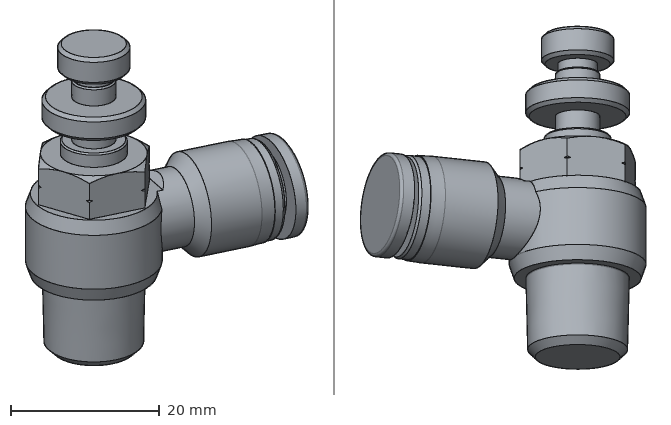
import cadquery as cq
import math


body_radius = 9.2
body_end_radius = 8.52
body_bottom = 11.05
body_top = 22.9
body_bevel_height = 1.95

leg_axis_height = 18.4
leg_neck_radius = 5.5
leg_radius = 7.2
leg_mouth_radius = 7.13
leg_cone_start = 12.35
leg_taper_start = 21.6
leg_mouth = 23.65
leg_flat_end = 8.8

sleeve_radius = 7.0
sleeve_end = 25.25
sleeve_bevel_length = 0.35
sleeve_bevel_depth = 0.23
collar_neck_radius = 4.85
neck_flare = 0.2
flange_inner = 26.3
flange_outer = 28.3
flange_half_width = 8.0
flange_half_height = 6.95
flange_fillet = 0.4

thread_top_radius = 6.95
thread_bottom_radius = 6.7
thread_chamfer = 1.05
shank_reveal = 0.15
hex_across_flats = 14.35
hex_height = 5.95
hex_bevel_angle = 30.0
mark_groove_drop = 3.3
mark_groove_depth = 0.23
mark_groove_half_width = 0.2
boss_radius = 4.5
boss_height = 2.05
boss_chamfer = 0.23

needle_top = 45.1
knob_radius = 4.85
knob_height = 3.95
knob_chamfer = 0.5
stem_neck_radius = 2.65
stem_radius = 2.98
stem_shoulder = 39.85
stem_chamfer = 0.23
disc_radius = 7.0
disc_bottom = 33.8
disc_thickness = 3.47
disc_chamfer = 0.5

hex_top = body_top + hex_height
hex_flat_radius = hex_across_flats / 2
hex_corner_radius = hex_flat_radius / math.cos(math.radians(30))
boss_top = hex_top + boss_height
knob_bottom = needle_top - knob_height
disc_top = disc_bottom + disc_thickness
leg_cone_end = leg_cone_start + leg_radius - leg_neck_radius


def revolve_about_z(profile):
    """Turn a closed (radius, z) profile about the Z axis."""
    return cq.Workplane("XZ").polyline(profile).close().revolve(360, (0, 0), (0, 1))


def revolve_about_leg(profile):
    """Turn a closed (radius, y) profile about the leg axis."""
    turned = cq.Workplane("XY").polyline(profile).close().revolve(360, (0, 0), (0, 1))
    return turned.translate((0, 0, leg_axis_height))


def make_elbow():
    body = revolve_about_z([
        (0, body_bottom),
        (body_end_radius, body_bottom),
        (body_radius, body_bottom + body_bevel_height),
        (body_radius, body_top - body_bevel_height),
        (body_end_radius, body_top),
        (0, body_top),
    ])
    leg = revolve_about_leg([
        (0, 0),
        (leg_neck_radius, 0),
        (leg_neck_radius, leg_cone_start),
        (leg_radius, leg_cone_end),
        (leg_radius, leg_taper_start),
        (leg_mouth_radius, leg_mouth),
        (0, leg_mouth),
    ])
    clear_top = leg_axis_height + leg_radius
    slope_run = clear_top - body_top
    clearance = (
        cq.Workplane("YZ")
        .polyline([
            (-body_radius, body_top),
            (leg_flat_end, body_top),
            (leg_flat_end + slope_run, clear_top),
            (-body_radius, clear_top),
        ])
        .close()
        .extrude(leg_neck_radius, both=True)
    )
    screw_bore = (
        cq.Workplane("XY")
        .workplane(offset=body_bottom)
        .circle(thread_top_radius)
        .extrude(body_top - body_bottom)
    )
    return body.union(leg.cut(clearance)).cut(screw_bore)


def make_release_collar():
    sleeve_and_neck = revolve_about_leg([
        (0, leg_mouth),
        (sleeve_radius, leg_mouth),
        (sleeve_radius, sleeve_end - sleeve_bevel_length),
        (sleeve_radius - sleeve_bevel_depth, sleeve_end),
        (collar_neck_radius, sleeve_end),
        (collar_neck_radius, flange_inner - neck_flare),
        (collar_neck_radius + neck_flare, flange_inner),
        (0, flange_inner),
    ])
    flange = (
        cq.Workplane("XZ", origin=(0, flange_outer, leg_axis_height))
        .ellipse(flange_half_width, flange_half_height)
        .extrude(flange_outer - flange_inner)
        .faces(">Y")
        .fillet(flange_fillet)
    )
    return sleeve_and_neck.union(flange)


def make_hexagon():
    hexagon = (
        cq.Workplane("XY")
        .workplane(offset=body_top)
        .polygon(6, 2 * hex_corner_radius)
        .extrude(hex_height)
        .rotate((0, 0, 0), (0, 0, 1), 30)
    )
    bevel_drop = (hex_corner_radius - hex_flat_radius) * math.tan(math.radians(hex_bevel_angle))
    mark_height = hex_top - mark_groove_drop
    envelope = revolve_about_z([
        (0, body_top),
        (hex_corner_radius, body_top),
        (hex_corner_radius, mark_height - mark_groove_half_width),
        (hex_corner_radius - mark_groove_depth, mark_height),
        (hex_corner_radius, mark_height + mark_groove_half_width),
        (hex_corner_radius, hex_top - bevel_drop),
        (hex_flat_radius, hex_top),
        (0, hex_top),
    ])
    return hexagon.intersect(envelope)


def make_screw_body():
    thread_and_shank = revolve_about_z([
        (0, 0),
        (thread_bottom_radius - thread_chamfer, 0),
        (thread_bottom_radius, thread_chamfer),
        (thread_top_radius, body_bottom - shank_reveal),
        (thread_top_radius, body_top),
        (0, body_top),
    ])
    boss = revolve_about_z([
        (0, hex_top),
        (boss_radius, hex_top),
        (boss_radius, boss_top - boss_chamfer),
        (boss_radius - boss_chamfer, boss_top),
        (0, boss_top),
    ])
    return thread_and_shank.union(make_hexagon()).union(boss)


def make_needle():
    return revolve_about_z([
        (0, boss_top),
        (stem_radius, boss_top),
        (stem_radius, disc_bottom),
        (disc_radius - disc_chamfer, disc_bottom),
        (disc_radius, disc_bottom + disc_chamfer),
        (disc_radius, disc_top - disc_chamfer),
        (disc_radius - disc_chamfer, disc_top),
        (stem_radius, disc_top),
        (stem_radius, stem_shoulder - stem_chamfer),
        (stem_radius - stem_chamfer, stem_shoulder),
        (stem_neck_radius, stem_shoulder),
        (stem_neck_radius, knob_bottom),
        (knob_radius - knob_chamfer, knob_bottom),
        (knob_radius, knob_bottom + knob_chamfer),
        (knob_radius, needle_top - knob_chamfer),
        (knob_radius - knob_chamfer, needle_top),
        (0, needle_top),
    ])


elbow = make_elbow()
release_collar = make_release_collar()
screw_body = make_screw_body()
needle = make_needle()

result = cq.Compound.makeCompound([
    elbow.val(),
    release_collar.val(),
    screw_body.val(),
    needle.val(),
])